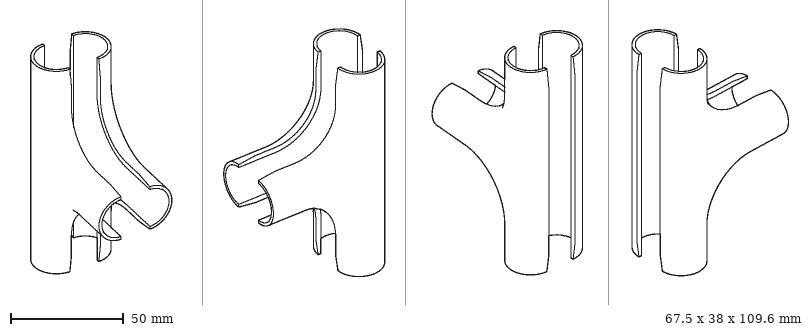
import cadquery as cq
import math

half_length = 54.8
bend_radius = 34.7
bore_radius = 10.0
tube_radius = 11.5
flat_angle = 35.0
lip_arc_height = 3.0
lip_wall_height = 0.2
taper_length = 9.0
shell_gap = 15.0

angle = math.radians(flat_angle)
flat_start = (tube_radius * math.cos(angle), tube_radius * math.sin(angle))
flat_end_height = lip_wall_height + lip_arc_height
flat_end = (flat_start[0] + (flat_start[1] - flat_end_height) * math.tan(angle), flat_end_height)
lip_arc_radius = lip_arc_height / math.sin(angle)
lip_arc_center = flat_end[0] - lip_arc_radius * math.cos(angle)
lip_reach = lip_arc_center + lip_arc_radius
lip_arc_mid = (
    lip_arc_center + lip_arc_radius * math.cos(angle / 2),
    lip_wall_height + lip_arc_radius * math.sin(angle / 2),
)
flat_at_split = (tube_radius / math.cos(angle), 0)


def on_circle(radius, direction):
    return radius * math.cos(direction), radius * math.sin(direction)


def outer_quarter(plane):
    """Quarter section of the shell's outside, from the tube axis out to the lip."""
    return (
        plane.moveTo(0, 0)
        .lineTo(0, tube_radius)
        .threePointArc(on_circle(tube_radius, (angle + math.pi / 2) / 2), flat_start)
        .lineTo(*flat_end)
        .threePointArc(lip_arc_mid, (lip_reach, lip_wall_height))
        .lineTo(lip_reach, 0)
        .close()
    )


def bore_quarter(plane):
    """Quarter section of the bore."""
    return (
        plane.moveTo(0, 0)
        .lineTo(0, bore_radius)
        .threePointArc(on_circle(bore_radius, math.pi / 4), (bore_radius, 0))
        .close()
    )


def taper_cutter():
    """Waste around the lip of a +Z end: ruled from the lip to the plain round tube."""
    strip_angle = angle * lip_wall_height / flat_end_height
    round_start = on_circle(tube_radius, strip_angle)
    round_mid = on_circle(tube_radius, (angle + strip_angle) / 2)
    return (
        cq.Workplane("XY", origin=(0, 0, half_length - taper_length))
        .moveTo(*flat_end)
        .threePointArc(lip_arc_mid, (lip_reach, lip_wall_height))
        .lineTo(lip_reach, 0)
        .lineTo(*flat_at_split)
        .close()
        .workplane(offset=taper_length)
        .moveTo(*flat_start)
        .threePointArc(round_mid, round_start)
        .lineTo(tube_radius, 0)
        .lineTo(*flat_at_split)
        .close()
        .loft(ruled=True)
    )


def straight_run(quarter, start):
    """Quarter tube along Z from the start height to the open end."""
    return quarter(cq.Workplane("XY", origin=(0, 0, start))).extrude(half_length - start)


def elbow(quarter):
    """Quarter tube bent from the +Z run into the +X branch."""
    plane = cq.Workplane("XY", origin=(0, 0, bend_radius))
    return quarter(plane).revolve(90, (bend_radius, 0), (bend_radius, -1))


def web(height):
    """Block between the centrelines of the +Z elbow, the run and the branch."""
    arc_offset = bend_radius * (1 - math.sqrt(0.5))
    return (
        cq.Workplane("XZ")
        .moveTo(0, 0)
        .lineTo(0, bend_radius)
        .threePointArc((arc_offset, arc_offset), (bend_radius, 0))
        .close()
        .extrude(-height)
    )


def upper_half(quarter, radius, tapered):
    """Everything above the branch axis, for the outside or for the bore."""
    back = straight_run(quarter, 0)
    front = straight_run(quarter, bend_radius)
    if tapered:
        back = back.cut(taper_cutter())
        front = front.cut(taper_cutter())
    branch = front.rotate((0, 0, 0), (0, 1, 0), 90).mirror("XY")
    return back.mirror("YZ").union(web(radius)).union(elbow(quarter)).union(front).union(branch)


def tee(quarter, radius, tapered):
    upper = upper_half(quarter, radius, tapered)
    return upper.union(upper.mirror("XY"))


def half_shell():
    """One half of the tee, with its split face on the XZ plane and its back toward +Y."""
    return tee(outer_quarter, tube_radius, True).cut(tee(bore_quarter, bore_radius, False))


rear_shell = half_shell().translate((0, shell_gap / 2, 0))
shells = [rear_shell, rear_shell.mirror("XZ")]

result = cq.Compound.makeCompound([shell.val() for shell in shells])